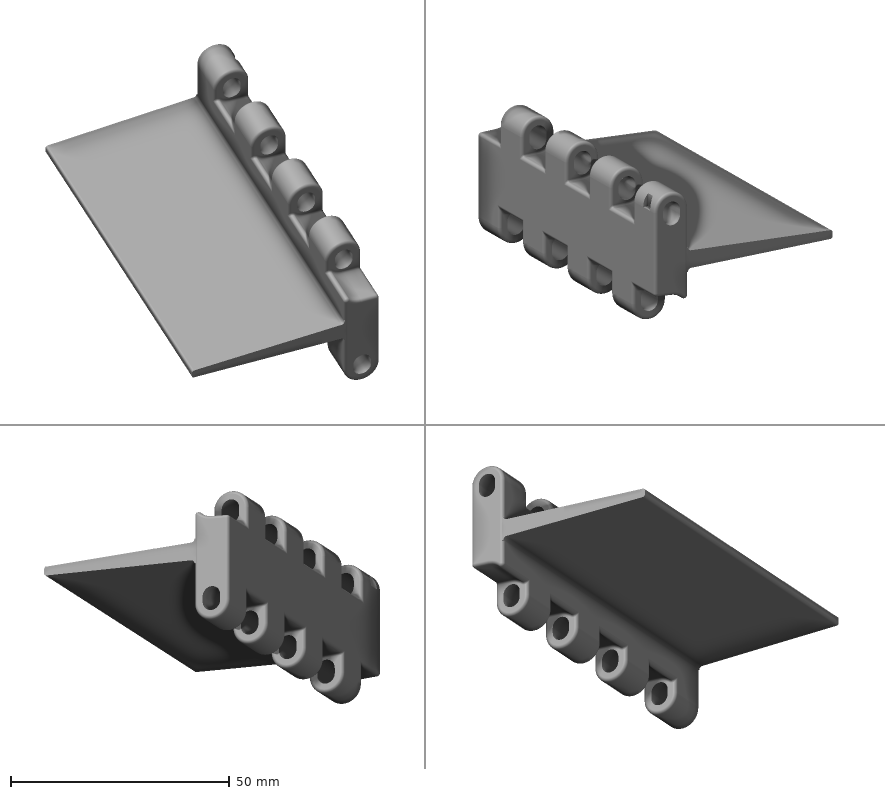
import cadquery as cq
import math

LENGTH = 84.74
DEPTH = 46.7
HEIGHT = 33.7

PLATE_THICKNESS = 8.7
KNUCKLE_RADIUS = PLATE_THICKNESS / 2
HINGE_Z = HEIGHT / 2 - KNUCKLE_RADIUS
KNUCKLE_COUNT = 4
KNUCKLE_WIDTH = 10.4
KNUCKLE_PITCH = 21.25
EDGE_RADIUS = 0.8
GAP_CORNER_RADIUS = 0.5

TROUGH_RADIUS = 4.5
FLOOR_SLOPE = math.radians(3)

PIN_SLOT_WIDTH = 4.4
PIN_SLOT_TRAVEL = 1.3

FIN_ROOT_THICKNESS = 4.3
FIN_TIP_THICKNESS = 2.1
FIN_ROOT_LENGTH = 84.5
FIN_TIP_LENGTH = 83.6
FIN_ROOT_FILLET = 0.8
FIN_TIP_FILLET = 0.55

RECESS_MOUTH_START = 2.3
RECESS_START = 3.4
RECESS_END = 5.6
RECESS_DEPTH = 1.3

PLATE_FRONT_Y = -PLATE_THICKNESS / 2
PLATE_BACK_Y = PLATE_THICKNESS / 2
FIN_TIP_Y = PLATE_BACK_Y - DEPTH
OVERCUT = 1.0
MATCH_TOLERANCE = 0.01


def turned_over(shape):
    """Half a turn about the Y axis, which carries the upper edge onto the lower one."""
    return shape.rotate((0, 0, 0), (0, 1, 0), 180)


def plate_blank():
    return (
        cq.Workplane("YZ")
        .slot2D(HEIGHT, PLATE_THICKNESS, 90)
        .extrude(LENGTH / 2, both=True)
    )


def gap_cutter(start_x, end_x):
    """Everything above the trough-shaped floor of one gap in the upper edge."""
    lip_z = HINGE_Z - math.sqrt(TROUGH_RADIUS**2 - KNUCKLE_RADIUS**2)
    front_angle = math.atan2(lip_z - HINGE_Z, PLATE_FRONT_Y)
    end_angle = -math.pi / 2 - FLOOR_SLOPE
    middle_angle = (front_angle + end_angle) / 2

    def on_trough(angle):
        return (TROUGH_RADIUS * math.cos(angle), HINGE_Z + TROUGH_RADIUS * math.sin(angle))

    floor_y, floor_z = on_trough(end_angle)
    back_y = PLATE_BACK_Y + OVERCUT
    back_z = floor_z - (back_y - floor_y) * math.tan(FLOOR_SLOPE)
    top_z = HEIGHT / 2 + OVERCUT
    return (
        cq.Workplane("YZ", origin=(start_x, 0, 0))
        .moveTo(PLATE_FRONT_Y - OVERCUT, lip_z)
        .lineTo(PLATE_FRONT_Y, lip_z)
        .threePointArc(on_trough(middle_angle), (floor_y, floor_z))
        .lineTo(back_y, back_z)
        .lineTo(back_y, top_z)
        .lineTo(PLATE_FRONT_Y - OVERCUT, top_z)
        .close()
        .extrude(end_x - start_x)
    )


def cut_gaps(plate):
    for index in range(KNUCKLE_COUNT):
        start_x = -LENGTH / 2 + index * KNUCKLE_PITCH + KNUCKLE_WIDTH
        end_x = start_x + KNUCKLE_PITCH - KNUCKLE_WIDTH
        if index == KNUCKLE_COUNT - 1:
            end_x = LENGTH / 2 + OVERCUT
        cutter = gap_cutter(start_x, end_x)
        plate = plate.cut(cutter).cut(turned_over(cutter))
    return plate


def is_gap_corner(edge):
    """True for the edges where a gap floor meets the side of a knuckle."""
    box = edge.BoundingBox()
    middle = edge.Center()
    across_plate = box.ylen > EDGE_RADIUS and box.xlen < EDGE_RADIUS
    at_floor_level = abs(middle.z) < HINGE_Z - EDGE_RADIUS
    away_from_ends = abs(middle.x) < LENGTH / 2 - 2 * EDGE_RADIUS
    return across_plate and at_floor_level and away_from_ends


def is_outer_edge(edge):
    """True for the convex edges, leaving out lines where two tangent faces join."""
    box = edge.BoundingBox()
    middle = edge.Center()
    runs_along_x = box.xlen > EDGE_RADIUS and box.ylen < EDGE_RADIUS
    on_hinge_level = abs(abs(middle.z) - HINGE_Z) < MATCH_TOLERANCE
    inside_plate = abs(middle.y) < PLATE_THICKNESS / 4
    smooth = runs_along_x and (on_hinge_level or inside_plate)
    return not smooth and not is_gap_corner(edge)


def round_edges(plate):
    """Rounds the outer edges first, so the smaller gap corners run out into them."""
    solid = plate.val()
    outer_edges = [edge for edge in solid.Edges() if is_outer_edge(edge)]
    solid = solid.fillet(EDGE_RADIUS, outer_edges)
    gap_corners = [edge for edge in solid.Edges() if is_gap_corner(edge)]
    return cq.Workplane(solid.fillet(GAP_CORNER_RADIUS, gap_corners))


def pin_slot():
    slot_height = PIN_SLOT_WIDTH + PIN_SLOT_TRAVEL
    return (
        cq.Workplane("YZ")
        .center(0, HINGE_Z - PIN_SLOT_TRAVEL / 2)
        .slot2D(slot_height, PIN_SLOT_WIDTH, 90)
        .extrude(LENGTH, both=True)
    )


def fin_section():
    """Tapered blade in the YZ plane, flared at the root and rounded at the tip."""
    root_z = FIN_ROOT_THICKNESS / 2
    tip_z = FIN_TIP_THICKNESS / 2
    taper_angle = math.atan2(root_z - tip_z, PLATE_FRONT_Y - FIN_TIP_Y)
    slope = math.tan(taper_angle)

    flare_y = PLATE_FRONT_Y - FIN_ROOT_FILLET
    flare_z = root_z - FIN_ROOT_FILLET * slope + FIN_ROOT_FILLET / math.cos(taper_angle)
    flare_end = math.pi / 2 - taper_angle
    flare_middle = flare_end / 2

    tip_y = FIN_TIP_Y + FIN_TIP_FILLET
    nose_z = tip_z + FIN_TIP_FILLET * slope - FIN_TIP_FILLET / math.cos(taper_angle)
    nose_start = math.pi / 2 + taper_angle
    nose_middle = (nose_start + math.pi) / 2

    def on_flare(angle):
        return (flare_y + FIN_ROOT_FILLET * math.cos(angle), flare_z - FIN_ROOT_FILLET * math.sin(angle))

    def on_nose(angle):
        return (tip_y + FIN_TIP_FILLET * math.cos(angle), nose_z + FIN_TIP_FILLET * math.sin(angle))

    upper_half = (
        cq.Workplane("YZ")
        .moveTo(0, 0)
        .lineTo(0, flare_z)
        .lineTo(PLATE_FRONT_Y, flare_z)
        .threePointArc(on_flare(flare_middle), on_flare(flare_end))
        .lineTo(*on_nose(nose_start))
        .threePointArc(on_nose(nose_middle), (FIN_TIP_Y, nose_z))
        .lineTo(FIN_TIP_Y, 0)
        .close()
        .extrude(LENGTH / 2, both=True)
    )
    return upper_half.union(upper_half.mirror("XY"))


def fin():
    """Blade cut to a plan that narrows from the plate to the tip."""
    plan = (
        cq.Workplane("XY")
        .moveTo(-FIN_ROOT_LENGTH / 2, 0)
        .lineTo(-FIN_ROOT_LENGTH / 2, PLATE_FRONT_Y)
        .lineTo(-FIN_TIP_LENGTH / 2, FIN_TIP_Y)
        .lineTo(FIN_TIP_LENGTH / 2, FIN_TIP_Y)
        .lineTo(FIN_ROOT_LENGTH / 2, PLATE_FRONT_Y)
        .lineTo(FIN_ROOT_LENGTH / 2, 0)
        .close()
        .extrude(HEIGHT / 2, both=True)
    )
    return fin_section().intersect(plan)


def recess():
    """Pocket in the back of the first knuckle, wider at its mouth, with its floor on the hinge level."""
    return (
        cq.Workplane("XY", origin=(-LENGTH / 2, PLATE_BACK_Y, HINGE_Z))
        .moveTo(RECESS_MOUTH_START, 0)
        .lineTo(RECESS_START, -RECESS_DEPTH)
        .lineTo(RECESS_END, -RECESS_DEPTH)
        .lineTo(RECESS_END, 0)
        .close()
        .extrude(HEIGHT)
    )


result = round_edges(cut_gaps(plate_blank()))
result = result.union(fin())
result = result.cut(pin_slot()).cut(turned_over(pin_slot())).cut(recess())